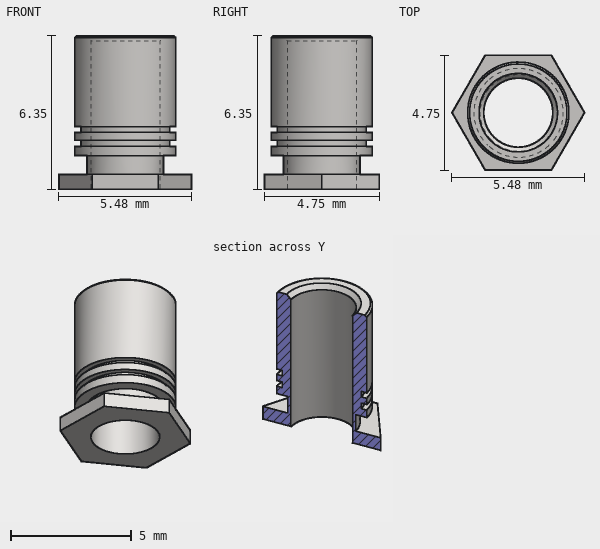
import cadquery as cq
import math

total_height = 6.35
flange_top = 0.63
neck_top = 1.405
lower_ring_top = 1.785
lower_groove_top = 2.03
upper_ring_top = 2.355
upper_groove_top = 2.6

hex_across_flats = 4.75
hex_across_corners = hex_across_flats / math.cos(math.radians(30))
body_diameter = 4.19
groove_diameter = 3.68
neck_diameter = 3.175
bore_diameter = 2.845
countersink_diameter = 3.25

rim_chamfer = 0.08
countersink_depth = (countersink_diameter - bore_diameter) / 2


def cylinder(diameter, bottom, top):
    """Solid cylinder on the Z axis between two heights."""
    return cq.Workplane("XY").workplane(offset=bottom).circle(diameter / 2).extrude(top - bottom)


flange = cq.Workplane("XY").polygon(6, hex_across_corners).extrude(flange_top)

body = cylinder(body_diameter, upper_groove_top, total_height).faces(">Z").edges().chamfer(rim_chamfer)
barrel_steps = [
    cylinder(neck_diameter, flange_top, neck_top),
    cylinder(body_diameter, neck_top, lower_ring_top),
    cylinder(groove_diameter, lower_ring_top, lower_groove_top),
    cylinder(body_diameter, lower_groove_top, upper_ring_top),
    cylinder(groove_diameter, upper_ring_top, upper_groove_top),
    body,
]
outside = flange
for step in barrel_steps:
    outside = outside.union(step)

bore = cylinder(bore_diameter, 0, total_height)
countersink = (
    cq.Workplane("XY")
    .workplane(offset=total_height - countersink_depth)
    .circle(bore_diameter / 2)
    .workplane(offset=countersink_depth)
    .circle(countersink_diameter / 2)
    .loft()
)

result = outside.cut(bore).cut(countersink)